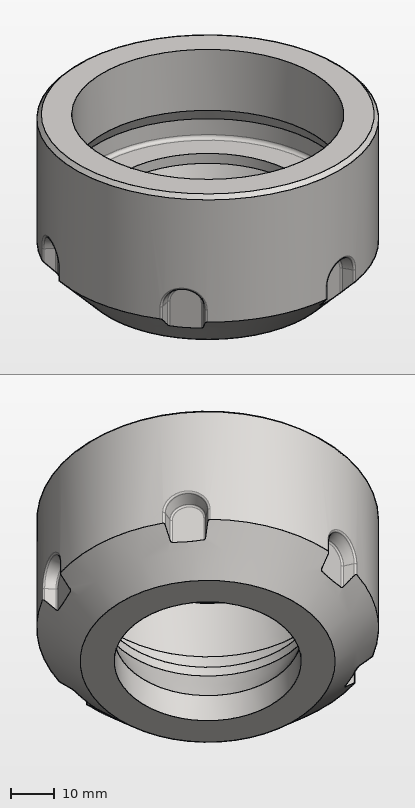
import cadquery as cq
import math

height = 42.5
outer_radius = 38.85
top_chamfer = 1.0
cone_height = 9.9
bottom_radius = outer_radius - cone_height

bore_radius = 30.9
bore_depth = 15.8
relief_radius = 32.25
relief_start_depth = 18.65
floor_depth = 23.7
floor_fillet = 0.9
seat_radius = 25.0
seat_depth = 26.3
exit_radius = 42.5 / 2
exit_depth = 35.1

slot_count = 6
slot_floor_radius = 35.35
slot_arch_height = 13.0
slot_half_width = 4.0
slot_draft = 18.0
slot_fillet = 0.505
slot_overrun = 7.8
edge_tolerance = 0.01


def make_body():
    """Revolve the ring section; the corner arc is the fillet at the relief floor."""
    floor_z = height - floor_depth
    arc_offset = floor_fillet * (1 - math.sqrt(0.5))
    section = (
        cq.Workplane("XZ")
        .moveTo(exit_radius, 0)
        .lineTo(bottom_radius, 0)
        .lineTo(outer_radius, cone_height)
        .lineTo(outer_radius, height - top_chamfer)
        .lineTo(outer_radius - top_chamfer, height)
        .lineTo(bore_radius, height)
        .lineTo(bore_radius, height - bore_depth)
        .lineTo(relief_radius, height - relief_start_depth)
        .lineTo(relief_radius, floor_z + floor_fillet)
        .threePointArc(
            (relief_radius - arc_offset, floor_z + arc_offset),
            (relief_radius - floor_fillet, floor_z),
        )
        .lineTo(seat_radius, floor_z)
        .lineTo(seat_radius, height - seat_depth)
        .lineTo(exit_radius, height - exit_depth)
        .close()
    )
    return section.revolve(360, (0, 0, 0), (0, 1, 0))


def make_slot_cutter():
    """Arched cutter on the -Y side, widening outward and rounded around its floor."""
    cutter = (
        cq.Workplane("XZ", origin=(0, -slot_floor_radius, 0))
        .moveTo(-slot_half_width, -slot_overrun)
        .lineTo(slot_half_width, -slot_overrun)
        .lineTo(slot_half_width, slot_arch_height)
        .threePointArc((0, slot_arch_height + slot_half_width), (-slot_half_width, slot_arch_height))
        .close()
        .extrude(slot_overrun, taper=-slot_draft)
    )
    return cutter.faces(">Y").edges().fillet(slot_fillet)


def make_slotted_blank():
    """Plain cylinder with the slots cut and their mouths rounded."""
    blank = cq.Workplane("XY").circle(outer_radius).extrude(height)
    slot_cutter = make_slot_cutter()
    for index in range(slot_count):
        angle = index * 360 / slot_count
        blank = blank.cut(slot_cutter.rotate((0, 0, 0), (0, 0, 1), angle))

    cylinder_edges = blank.faces("%CYLINDER").edges()
    mouth_edges = cylinder_edges.filter(is_mouth_edge)
    return mouth_edges.fillet(slot_fillet)


def is_mouth_edge(edge):
    """True for a slot edge on the outer cylinder, between its bottom rim and mid height."""
    ends_on_cylinder = all(
        abs(math.hypot(edge.positionAt(t).x, edge.positionAt(t).y) - outer_radius) < edge_tolerance
        for t in (0, 0.5, 1)
    )
    return ends_on_cylinder and edge_tolerance < edge.Center().z < height / 2 - edge_tolerance


result = make_slotted_blank().intersect(make_body())